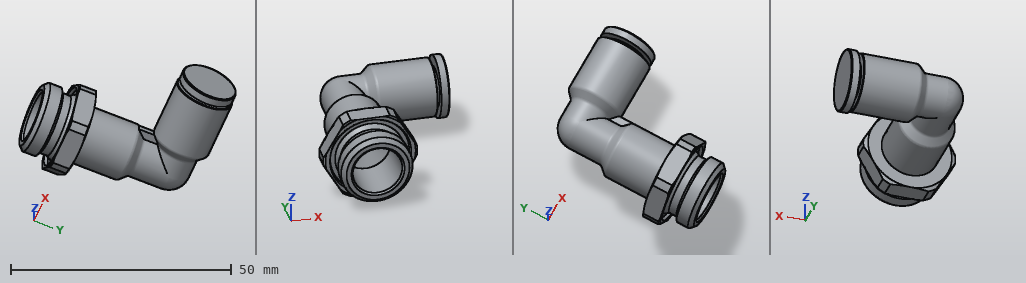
import cadquery as cq
import math


overall_length = 40.6

tube_radius = 5.0
sleeve_diameter = 13.6
sleeve_radius = sleeve_diameter / 2
taper_length = 2.0
taper_round = 0.95
hose_taper_start = 5.05
stem_taper_start = 8.3

hose_sleeve_end = 20.7
hose_sleeve_chamfer = 0.15
hose_neck_radius = 4.8
collar_start = 21.6
collar_end = 23.6
collar_half_width = 6.55
collar_half_height = 7.5
collar_chamfer = 0.25

web_thickness = 2.0

stem_tip = overall_length - sleeve_radius
hex_front = 26.75
hex_length = 4.5
hex_back = hex_front - hex_length
hex_flats = 20.0
hex_corner_radius = 11.0
hex_chamfer_angle = 20
hex_back_face_radius = hex_flats / 2
hex_front_face_radius = 10.5

recess_outer_radius = 9.5
recess_floor_radius = 9.2
recess_depth = 0.8

undercut_radius = 7.3
undercut_flare_start = 27.25
undercut_flare_slope = 0.6
undercut_end = 29.2
thread_radius = 8.35
thread_start = 29.85
thread_chamfer = 1.0

bore_radius = 5.75
bore_mouth_radius = 6.2
bore_mouth_depth = 0.45
bore_bottom_radius = 0.75
bore_wall_end = hex_back
bore_point_half_angle = 60


def revolve_stem(points):
    """Revolve (radius, distance along -Y) points about the threaded leg's axis."""
    outline = [(radius, -distance) for radius, distance in points]
    return cq.Workplane("XY").polyline(outline).close().revolve(360, (0, 0), (0, 1))


def tapered_leg(taper_start, end):
    """Tube along +X from the origin, widening to the sleeve through a rounded taper."""
    taper_end = taper_start + taper_length
    taper_angle = math.atan2(sleeve_radius - tube_radius, taper_length)
    mid_turn = taper_angle / 2
    tangent = taper_round * math.tan(mid_turn)
    along = tangent * math.cos(taper_angle)
    rise = tangent * math.sin(taper_angle)
    arc_start = taper_start - tangent
    arc_end = taper_end + tangent
    mid_along = taper_round * math.sin(mid_turn)
    mid_rise = taper_round * (1 - math.cos(mid_turn))
    return (
        cq.Workplane("XY")
        .lineTo(0, tube_radius)
        .lineTo(arc_start, tube_radius)
        .threePointArc(
            (arc_start + mid_along, tube_radius + mid_rise),
            (taper_start + along, tube_radius + rise),
        )
        .lineTo(taper_end - along, sleeve_radius - rise)
        .threePointArc(
            (arc_end - mid_along, sleeve_radius - mid_rise),
            (arc_end, sleeve_radius),
        )
        .lineTo(end, sleeve_radius)
        .lineTo(end, 0)
        .close()
        .revolve(360, (0, 0), (1, 0))
    )


def make_elbow():
    hose_leg = tapered_leg(hose_taper_start, hose_sleeve_end)
    hose_leg = hose_leg.faces(">X").chamfer(hose_sleeve_chamfer)
    stem_leg = tapered_leg(stem_taper_start, hex_back).rotate((0, 0, 0), (0, 0, 1), -90)
    web_length = stem_taper_start + taper_length
    web = cq.Workplane("XY").box(
        sleeve_radius, web_length, web_thickness, centered=(False, False, True)
    ).translate((0, -web_length, 0))
    corner = cq.Workplane("XY").sphere(tube_radius)
    return hose_leg.union(stem_leg).union(web).union(corner)


def make_collar():
    neck = (
        cq.Workplane("YZ", origin=(hose_sleeve_end, 0, 0))
        .circle(hose_neck_radius)
        .extrude(collar_start - hose_sleeve_end)
    )
    collar = (
        cq.Workplane("YZ", origin=(collar_start, 0, 0))
        .ellipse(collar_half_width, collar_half_height)
        .extrude(collar_end - collar_start)
        .faces(">X")
        .chamfer(collar_chamfer)
    )
    return neck.union(collar)


def make_hexagon():
    hex_sharp_diameter = hex_flats / math.cos(math.radians(30))
    hexagon = (
        cq.Workplane("XZ", origin=(0, -hex_back, 0))
        .polygon(6, hex_sharp_diameter)
        .extrude(hex_length)
    )
    slope = math.tan(math.radians(hex_chamfer_angle))
    back_drop = (hex_corner_radius - hex_back_face_radius) * slope
    front_drop = (hex_corner_radius - hex_front_face_radius) * slope
    envelope = revolve_stem([
        (0, hex_back),
        (hex_back_face_radius, hex_back),
        (hex_corner_radius, hex_back + back_drop),
        (hex_corner_radius, hex_front - front_drop),
        (hex_front_face_radius, hex_front),
        (0, hex_front),
    ])
    recess = revolve_stem([
        (0, hex_front),
        (recess_outer_radius, hex_front),
        (recess_floor_radius, hex_front - recess_depth),
        (0, hex_front - recess_depth),
    ])
    return hexagon.intersect(envelope).cut(recess)


def make_thread():
    recess_floor = hex_front - recess_depth
    flare_length = undercut_flare_start - recess_floor
    flare_radius = undercut_radius + flare_length * undercut_flare_slope
    return revolve_stem([
        (0, recess_floor),
        (flare_radius, recess_floor),
        (undercut_radius, undercut_flare_start),
        (undercut_radius, undercut_end),
        (thread_radius, thread_start),
        (thread_radius, stem_tip - thread_chamfer),
        (thread_radius - thread_chamfer, stem_tip),
        (0, stem_tip),
    ])


def make_bore():
    point_slope = math.tan(math.radians(bore_point_half_angle))
    bore_bottom = bore_wall_end - (bore_radius - bore_bottom_radius) / point_slope
    return revolve_stem([
        (0, stem_tip),
        (bore_mouth_radius, stem_tip),
        (bore_radius, stem_tip - bore_mouth_depth),
        (bore_radius, bore_wall_end),
        (bore_bottom_radius, bore_bottom),
        (0, bore_bottom),
    ])


body = make_elbow().union(make_collar()).union(make_hexagon()).union(make_thread())
result = body.cut(make_bore())